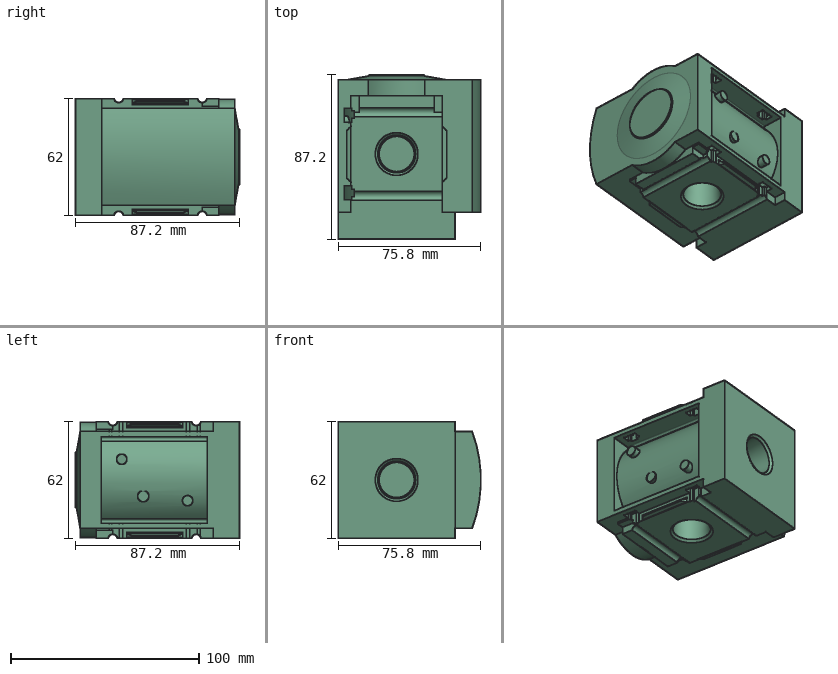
import cadquery as cq
import math

BODY_SIZE = 62.0
HALF = BODY_SIZE / 2
CAP_END = 14.1
PLATE_START = 76.1
PLATE_END = 84.7
TOTAL_LENGTH = 87.2
COVER_HALF_Z = 25.7

COVER_EDGE_X = 40.1
TOTAL_WIDTH = 75.8
COVER_CROWN_X = TOTAL_WIDTH - HALF

CROWN_HALF_WIDTH = 15.0
CROWN_TOP_Z = 30.7
DOME_TOP_RADIUS = 29.0 / 2
DOME_BASE_RADIUS = COVER_HALF_Z
DOME_RIM_RADIUS = 15.0
DOME_RIM_Y = 86.6

RAIL_HALF_WIDTH = 24.2
GROOVE_RADIUS = 2.4
GROOVE_AXIS_RISE = 0.35
GROOVE_Y = (23.0, 67.3)
NOTCH_INNER_X = 20.0
NOTCH_FLOOR_Z = 26.8

WING_REACH = 2.35
WING_START_Y = 30.2
WING_END_Y = 59.8
WING_ROOT_TOP_Z = 30.7
WING_TIP_TOP_Z = 30.35
WING_TIP_BOTTOM_Z = 29.6
WING_ROOT_BOTTOM_Z = 28.4
WING_GROOVE_RADIUS = 0.35

PORT_MOUTH_RADIUS = 11.3
PORT_RADIUS = 10.0
PORT_FLOOR_RADIUS = 9.3
PORT_DEPTH = 20.9
SIDE_PORT_Y = 45.2

WINDOW_START_Y = 17.2
WINDOW_END_Y = 73.3
WINDOW_HALF_Z = 23.0
CORE_RADIUS = 28.7
CORE_EDGE_Z = 20.7
CORE_EDGE_X = -math.sqrt(CORE_RADIUS ** 2 - CORE_EDGE_Z ** 2)

SLOT_OUTER_X = -27.7
SLOT_STEP_X = -23.9
SLOT_INNER_X = -22.5
SLOT_WIDTH = 7.3
SLOT_NECK_WIDTH = 4.0
SLOT_Y = (24.6, 65.7)
SLOT_NECK_Y = (24.4, 66.0)

PINS = (
    (62.6, 11.0, 5.5, -30.35),
    (27.6, -11.0, 5.5, -29.65),
    (51.2, -8.6, 5.9, -28.1),
)


def box(x0, x1, y0, y1, z0, z1):
    """Box given by its limits along each axis."""
    return cq.Workplane("XY").box(x1 - x0, y1 - y0, z1 - z0, centered=False).translate((x0, y0, z0))


def xz_sketch(y):
    """XZ workplane at the given Y; extrude by a negative length to go toward +Y."""
    return cq.Workplane("XZ", origin=(0, y, 0))


def with_z_mirror(shape):
    return shape.union(shape.mirror("XY"))


def make_body():
    cap = box(-HALF, HALF, 0, CAP_END, -HALF, HALF)
    middle = box(-HALF, HALF, CAP_END, PLATE_END, -COVER_HALF_Z, COVER_HALF_Z)
    rails = box(-RAIL_HALF_WIDTH, RAIL_HALF_WIDTH, CAP_END, PLATE_START, -HALF, HALF)
    return cap.union(middle).union(rails)


def make_side_cover():
    return (
        xz_sketch(CAP_END)
        .moveTo(HALF, -COVER_HALF_Z)
        .lineTo(COVER_EDGE_X, -COVER_HALF_Z)
        .threePointArc((COVER_CROWN_X, 0), (COVER_EDGE_X, COVER_HALF_Z))
        .lineTo(HALF, COVER_HALF_Z)
        .close()
        .extrude(CAP_END - PLATE_END)
    )


def make_plate_crowns():
    crown = (
        xz_sketch(PLATE_START)
        .moveTo(-CROWN_HALF_WIDTH, COVER_HALF_Z)
        .threePointArc((0, CROWN_TOP_Z), (CROWN_HALF_WIDTH, COVER_HALF_Z))
        .close()
        .extrude(PLATE_START - PLATE_END)
    )
    return with_z_mirror(crown)


def make_dome():
    return (
        cq.Workplane("XY")
        .moveTo(0, PLATE_END)
        .lineTo(DOME_BASE_RADIUS, PLATE_END)
        .lineTo(DOME_RIM_RADIUS, DOME_RIM_Y)
        .lineTo(DOME_TOP_RADIUS, TOTAL_LENGTH)
        .lineTo(0, TOTAL_LENGTH)
        .close()
        .revolve(360, (0, 0, 0), (0, 1, 0))
    )


def make_rail_cuts():
    """Round cross grooves, and the lowered corners at the back of the rails."""
    cuts = cq.Workplane("XY")
    for y in GROOVE_Y:
        groove = (
            cq.Workplane("YZ", origin=(0, y, HALF + GROOVE_AXIS_RISE))
            .circle(GROOVE_RADIUS)
            .extrude(RAIL_HALF_WIDTH, both=True)
        )
        cuts = cuts.union(groove)
    notch = box(NOTCH_INNER_X, RAIL_HALF_WIDTH, GROOVE_Y[1], PLATE_START, NOTCH_FLOOR_Z, HALF)
    cuts = cuts.union(notch).union(notch.mirror("YZ"))
    return with_z_mirror(cuts)


def make_wings():
    """Bevelled wings, trimmed to 45 degree ends in plan."""
    tip_x = RAIL_HALF_WIDTH + WING_REACH
    bar = (
        xz_sketch(WING_START_Y)
        .polyline([
            (RAIL_HALF_WIDTH, WING_ROOT_TOP_Z),
            (tip_x, WING_TIP_TOP_Z),
            (tip_x, WING_TIP_BOTTOM_Z),
            (RAIL_HALF_WIDTH, WING_ROOT_BOTTOM_Z),
        ])
        .close()
        .extrude(WING_START_Y - WING_END_Y)
    )
    plan = (
        cq.Workplane("XY")
        .polyline([
            (RAIL_HALF_WIDTH, WING_START_Y),
            (tip_x, WING_START_Y + WING_REACH),
            (tip_x, WING_END_Y - WING_REACH),
            (RAIL_HALF_WIDTH, WING_END_Y),
        ])
        .close()
        .extrude(HALF)
    )
    wing = bar.intersect(plan)
    return with_z_mirror(wing.union(wing.mirror("YZ")))


def make_wing_grooves():
    groove = (
        xz_sketch(WING_START_Y)
        .center(RAIL_HALF_WIDTH, WING_ROOT_BOTTOM_Z - WING_GROOVE_RADIUS)
        .circle(WING_GROOVE_RADIUS)
        .extrude(WING_START_Y - WING_END_Y)
    )
    return with_z_mirror(groove.union(groove.mirror("YZ")))


def make_port():
    """Port cutter along Z with its mouth at Z = 0, going down."""
    chamfer = PORT_MOUTH_RADIUS - PORT_RADIUS
    return (
        cq.Workplane("XZ")
        .polyline([
            (0, 0),
            (PORT_MOUTH_RADIUS, 0),
            (PORT_RADIUS, -chamfer),
            (PORT_FLOOR_RADIUS, -PORT_DEPTH),
            (0, -PORT_DEPTH),
        ])
        .close()
        .revolve(360, (0, 0, 0), (0, 1, 0))
    )


def make_ports():
    port = make_port()
    front_port = port.rotate((0, 0, 0), (1, 0, 0), 90)
    top_port = port.translate((0, SIDE_PORT_Y, HALF))
    return with_z_mirror(top_port).union(front_port)


def make_window():
    """Window cutter; its inner wall is the core arc with a round channel on each side."""
    channel_radius = (WINDOW_HALF_Z - CORE_EDGE_Z) / 2
    channel_mid = (CORE_EDGE_X + channel_radius, WINDOW_HALF_Z - channel_radius)
    return (
        xz_sketch(WINDOW_START_Y)
        .moveTo(-HALF, WINDOW_HALF_Z)
        .lineTo(CORE_EDGE_X, WINDOW_HALF_Z)
        .threePointArc(channel_mid, (CORE_EDGE_X, CORE_EDGE_Z))
        .threePointArc((-CORE_RADIUS, 0), (CORE_EDGE_X, -CORE_EDGE_Z))
        .threePointArc((channel_mid[0], -channel_mid[1]), (CORE_EDGE_X, -WINDOW_HALF_Z))
        .lineTo(-HALF, -WINDOW_HALF_Z)
        .close()
        .extrude(WINDOW_START_Y - WINDOW_END_Y)
    )


def make_slots():
    slots = cq.Workplane("XY")
    for y, neck_y in zip(SLOT_Y, SLOT_NECK_Y):
        for x1, mid_y, width in (
            (SLOT_STEP_X, y, SLOT_WIDTH),
            (SLOT_INNER_X, neck_y, SLOT_NECK_WIDTH),
        ):
            y0 = mid_y - width / 2
            slots = slots.union(box(SLOT_OUTER_X, x1, y0, y0 + width, WINDOW_HALF_Z, HALF))
    return with_z_mirror(slots)


def make_pins():
    pins = cq.Workplane("XY")
    for y, z, diameter, end_x in PINS:
        pin = (
            cq.Workplane("YZ", origin=(end_x, y, z))
            .circle(diameter / 2)
            .extrude(CORE_EDGE_X - end_x)
        )
        pins = pins.union(pin)
    return pins


result = (
    make_body()
    .union(make_side_cover())
    .union(make_plate_crowns())
    .union(make_dome())
    .cut(make_rail_cuts())
    .union(make_wings())
    .cut(make_wing_grooves())
    .cut(make_ports())
    .cut(make_window())
    .cut(make_slots())
    .union(make_pins())
)